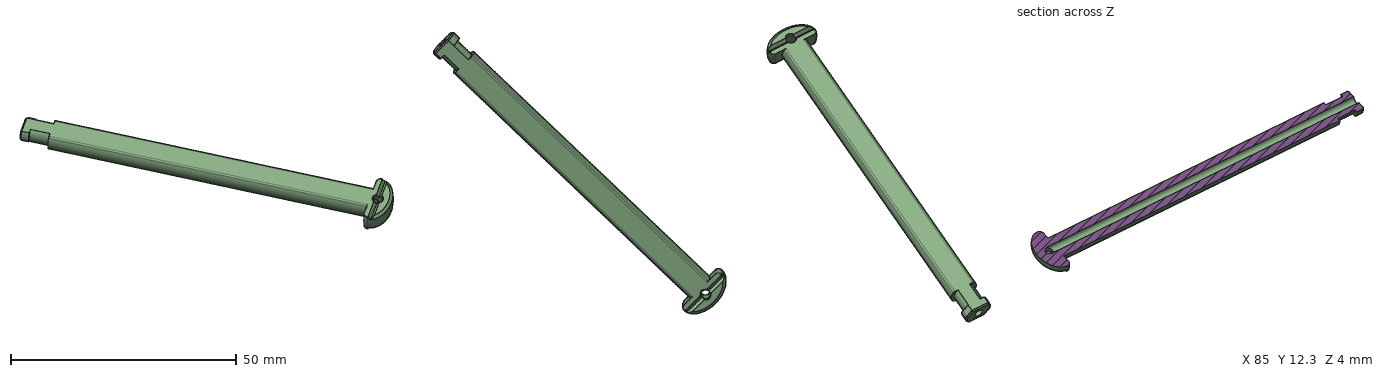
import cadquery as cq
import math

length = 85.0
head_width = 12.25
thickness = 4.0
half_thickness = thickness / 2
half_head_width = head_width / 2

shaft_radius = 3.25
shaft_edge_fillet = 0.5

cap_length = 2.0
cap_corner_fillet = 1.0
cap_end_chamfer = 0.3
neck_radius = 2.5
neck_end = 6.5

head_start = 80.0
flange_length = 1.1
flange_corner_fillet = 1.0
rim_bulge = 0.25
rim_chamfer = 0.55
oval_start = head_start + flange_length
oval_depth = length - oval_start

groove_x = 81.75
groove_width = 1.25
groove_depth = 0.75

cord_hole_radius = 1.0
cord_hole_countersink = 0.25
bore_radius = 1.0


def flattened_bar(radius, start, end):
    """Round bar along X, cut flat at the top and bottom."""
    bar = cq.Workplane("YZ", origin=(start, 0, 0)).circle(radius).extrude(end - start)
    slab = cq.Workplane("XY").box(2 * length, 2 * head_width, thickness)
    return bar.intersect(slab)


def make_shaft():
    """Main bar with its four long edges rounded; it ends inside the head."""
    return flattened_bar(shaft_radius, neck_end, oval_start).edges("|X").fillet(shaft_edge_fillet)


def make_neck():
    return flattened_bar(neck_radius, cap_length, neck_end)


def make_cap():
    """Cap with two opposite corners relieved by 45 degree planes tangent to the neck."""
    between_reliefs = (
        cq.Workplane("YZ")
        .transformed(rotate=(0, 0, 45))
        .rect(2 * neck_radius, 4 * shaft_radius)
        .extrude(cap_length)
    )
    cap = flattened_bar(shaft_radius, 0, cap_length).intersect(between_reliefs)

    tangent_point = neck_radius / math.sqrt(2)
    run_out = math.sqrt((shaft_radius**2 - neck_radius**2) / 2)
    for side in (1, -1):
        corner = (cap_length / 2, side * (tangent_point + run_out), side * (tangent_point - run_out))
        cap = cap.edges(cq.selectors.NearestToPointSelector(corner)).fillet(cap_corner_fillet)
    return cap.faces("<X").chamfer(cap_end_chamfer)


def head_rim(workplane):
    """Open outline of the head: flange side, half oval, other flange side."""
    return (
        workplane.moveTo(head_start, -half_head_width)
        .lineTo(oval_start, -half_head_width)
        .ellipseArc(oval_depth, half_head_width, -90, 90, startAtCurrent=True)
        .lineTo(head_start, half_head_width)
    )


def make_head():
    """Head with a slightly bulged rim, a chamfered oval and rounded flange corners."""
    blank = head_rim(cq.Workplane("XY", origin=(0, 0, -half_thickness))).close().extrude(thickness)

    bulge_edge = -half_head_width + rim_bulge
    waste_edge = -half_head_width - rim_bulge
    waste = (
        cq.Workplane("YZ", origin=(head_start, 0, 0))
        .moveTo(bulge_edge, -half_thickness)
        .threePointArc((-half_head_width, 0), (bulge_edge, half_thickness))
        .lineTo(waste_edge, half_thickness)
        .lineTo(waste_edge, -half_thickness)
        .close()
        .sweep(head_rim(cq.Workplane("XY")))
    )
    head = blank.cut(waste)

    flange_space = cq.Workplane("XY").box(2 * oval_start, 2 * head_width, 2 * thickness)
    flange = head.intersect(flange_space).faces("<X").edges("<Y or >Y").fillet(flange_corner_fillet)
    button = head.cut(flange_space).faces("|Z").edges(">X").chamfer(rim_chamfer)
    return flange.union(button)


def make_grooves():
    """Two V-shaped cutters along Y, one for each flat side of the head."""
    cutters = cq.Workplane("XY")
    for side in (1, -1):
        surface = side * half_thickness
        cutter = (
            cq.Workplane("XZ", origin=(groove_x, half_head_width, 0))
            .moveTo(-groove_width / 2, surface)
            .lineTo(groove_width / 2, surface)
            .lineTo(0, surface - side * groove_depth)
            .close()
            .extrude(head_width)
        )
        cutters = cutters.add(cutter)
    return cutters.combine()


def make_cord_hole():
    """Vertical hole cutter with a countersink at each flat side."""
    waist = thickness - 2 * cord_hole_countersink
    profile = (
        cq.Workplane("XZ", origin=(groove_x, 0, 0))
        .moveTo(0, -half_thickness)
        .lineTo(cord_hole_radius + cord_hole_countersink, -half_thickness)
        .lineTo(cord_hole_radius, -waist / 2)
        .lineTo(cord_hole_radius, waist / 2)
        .lineTo(cord_hole_radius + cord_hole_countersink, half_thickness)
        .lineTo(0, half_thickness)
        .close()
    )
    return profile.revolve(360, (0, 0, 0), (0, 1, 0))


def make_bore():
    """Lengthwise hole cutter from the locking end into the cord hole."""
    return cq.Workplane("YZ").circle(bore_radius).extrude(groove_x)


solid_bar = make_shaft().union(make_neck()).union(make_cap()).union(make_head())
result = solid_bar.cut(make_grooves()).cut(make_cord_hole()).cut(make_bore())